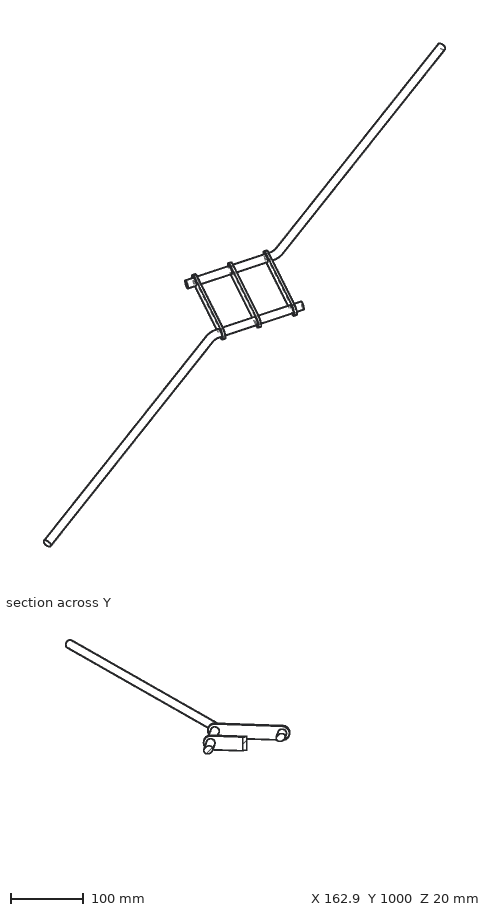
import cadquery as cq
import math

total_length = 1000.0
rod_diameter = 12.0
tilt = 35.0
bend_radius = 25.0
rail_spacing = 93.0
rail_foot_reach = 67.0
rung_pitch = 53.0
rung_height = 20.0
rung_thickness = 4.0
rung_count = 3

tilt_radians = math.radians(tilt)
rail_offset = rail_spacing / 2


def turned(x, y):
    """Turn a ladder-frame point clockwise by the tilt into part coordinates."""
    cosine = math.cos(tilt_radians)
    sine = math.sin(tilt_radians)
    return (x * cosine + y * sine, y * cosine - x * sine)


def bent_rod():
    """Round rod: a tilted rail, a bend, and a long straight run along +Y at X = 0."""
    corner_y = rail_offset / math.sin(tilt_radians)
    tangent_length = bend_radius * math.tan(tilt_radians / 2)
    foot = turned(-rail_offset, -rail_foot_reach)
    bend_start = (
        -tangent_length * math.sin(tilt_radians),
        corner_y - tangent_length * math.cos(tilt_radians),
    )
    bend_end = (0, corner_y + tangent_length)
    bend_middle = (
        -bend_radius * (1 - math.cos(tilt_radians / 2)),
        bend_end[1] - bend_radius * math.sin(tilt_radians / 2),
    )
    path = (
        cq.Workplane("XY")
        .moveTo(*foot)
        .lineTo(*bend_start)
        .threePointArc(bend_middle, bend_end)
        .lineTo(0, total_length / 2)
    )
    rail_direction = (math.sin(tilt_radians), math.cos(tilt_radians), 0)
    foot_plane = cq.Plane(origin=(*foot, 0), xDir=(0, 0, 1), normal=rail_direction)
    return cq.Workplane(foot_plane).circle(rod_diameter / 2).sweep(path)


def rung(position):
    """Flat round-ended plate joining both rails at a distance along them."""
    length = rail_spacing + rung_height
    return (
        cq.Workplane("XZ", origin=(0, position, 0))
        .slot2D(length, rung_height)
        .extrude(rung_thickness / 2, both=True)
        .rotate((0, 0, 0), (0, 0, 1), -tilt)
    )


first_rod = bent_rod()
result = first_rod.union(first_rod.rotate((0, 0, 0), (0, 0, 1), 180))
for index in range(rung_count):
    rung_position = (index - (rung_count - 1) / 2) * rung_pitch
    result = result.union(rung(rung_position))